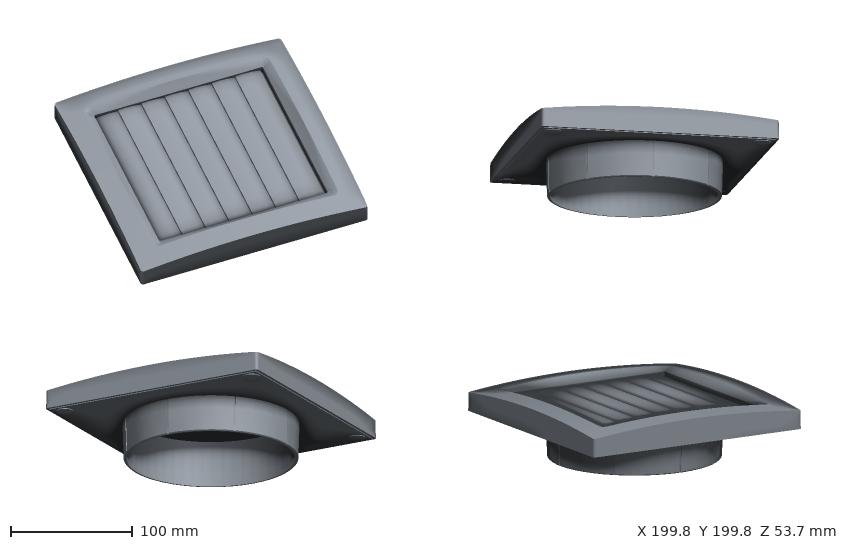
import cadquery as cq
import math

plate_side = 199.8
plate_corner_radius = 2.5
side_draft = 1.2
crown_radius = 841.2
crown_height = 27.2
crown_center_z = crown_height - crown_radius
stock_height = crown_height + 4.0

base_inset = 2.5
base_height = 0.5
foot_diameter = 14.0
foot_height = 1.2
foot_offset = 88.0

mouth_half = 81.5
mouth_radius = 6.0
well_half = 74.1
well_radius = 1.0
well_top = 16.8
rim_clearance = 0.02
straightness = 2e-06

slat_count = 7
slat_pitch = 20.5
slat_radius = 58.0
slat_top_z = 13.5
slat_rise = 1.1
step_run = 0.5
first_slat_y = 70.5
nose_length = 1.5
nose_drop = 0.2
last_slat_drop = 1.0
end_gap = 0.5
gap_floor_z = 10.0

spigot_length = 30.5
spigot_radius = 72.7
spigot_end_radius = 71.7
spigot_wall = 2.4
spigot_end_chamfer = 0.8
groove_count = 8
groove_width = 1.8
groove_depth = 0.5
duct_top = 8.0


def crown_z(x, y):
    """Height of the spherical crown above a point of the plate."""
    return crown_center_z + math.sqrt(crown_radius**2 - x**2 - y**2)


def make_plate():
    stock = (
        cq.Workplane("XY")
        .rect(plate_side, plate_side)
        .extrude(stock_height, taper=side_draft)
        .edges("not #Z")
        .fillet(plate_corner_radius)
    )
    crown = cq.Workplane("XY").sphere(crown_radius).translate((0, 0, crown_center_z))
    base_side = plate_side - 2 * base_inset
    base = cq.Workplane("XY").rect(base_side, base_side).extrude(-base_height)
    feet = (
        cq.Workplane("XY")
        .rect(2 * foot_offset, 2 * foot_offset, forConstruction=True)
        .vertices()
        .circle(foot_diameter / 2)
        .extrude(-foot_height)
    )
    return stock.intersect(crown).union(base).union(feet)


def rounded_square_edges(half, radius, height):
    """Sides and corner arcs, in order, of a rounded square lying on the surface height(x, y)."""
    straight = half - radius
    bend = straight + radius * math.sqrt(0.5)

    def point(x, y, quarter):
        for _ in range(quarter):
            x, y = -y, x
        return cq.Vector(x, y, height(x, y))

    edges = []
    for quarter in range(4):
        side = [point(half, y, quarter) for y in (-straight, 0, straight)]
        corner = [side[2], point(bend, bend, quarter), point(straight, half, quarter)]
        for start, middle, end in (side, corner):
            bulge = (start + end).multiply(0.5).sub(middle).Length
            if bulge < straightness:
                edges.append(cq.Edge.makeLine(start, end))
            else:
                edges.append(cq.Edge.makeThreePointArc(start, middle, end))
    return edges


def make_opening():
    """Solid removed from the plate: sloped mouth that follows the crown, open upwards."""
    well = rounded_square_edges(well_half, well_radius, lambda x, y: well_top)
    rim = rounded_square_edges(mouth_half, mouth_radius, lambda x, y: crown_z(x, y) + rim_clearance)
    lid = rounded_square_edges(mouth_half, mouth_radius, lambda x, y: stock_height)
    faces = [
        cq.Face.makeFromWires(cq.Wire.assembleEdges(well)),
        cq.Face.makeFromWires(cq.Wire.assembleEdges(lid)),
    ]
    for lower, upper in (well, rim), (rim, lid):
        faces += [cq.Face.makeRuledSurface(low, high) for low, high in zip(lower, upper)]
    return cq.Workplane(cq.Solid.makeSolid(cq.Shell.makeShell(faces)))


def make_louvre_space():
    """Space in the well above the stepped, convex slats and in the gaps at both ends of the row."""
    nose_y = first_slat_y + nose_length
    outline = (
        cq.Workplane("YZ", origin=(-well_half, 0, 0))
        .moveTo(well_half, well_top)
        .lineTo(well_half, gap_floor_z)
        .lineTo(nose_y, gap_floor_z)
        .lineTo(nose_y, slat_top_z - nose_drop)
        .lineTo(first_slat_y, slat_top_z)
    )
    for index in range(1, slat_count):
        y_low = first_slat_y - index * slat_pitch
        outline = outline.radiusArc((y_low, slat_top_z + slat_rise), -slat_radius)
        outline = outline.lineTo(y_low - step_run, slat_top_z)
    last_y = end_gap - well_half
    return (
        outline.radiusArc((last_y, slat_top_z - last_slat_drop), -slat_radius)
        .lineTo(last_y, gap_floor_z)
        .lineTo(-well_half, gap_floor_z)
        .lineTo(-well_half, well_top)
        .close()
        .extrude(2 * well_half)
    )


def make_spigot():
    profile = (
        cq.Workplane("XZ")
        .lineTo(spigot_radius, 0)
        .lineTo(spigot_end_radius, spigot_end_chamfer - spigot_length)
        .lineTo(spigot_end_radius - spigot_end_chamfer, -spigot_length)
        .lineTo(0, -spigot_length)
        .close()
    )
    spigot = profile.revolve(360, (0, 0, 0), (0, 1, 0))
    groove = (
        cq.Workplane("XZ")
        .moveTo(spigot_radius - groove_depth, 0)
        .lineTo(spigot_end_radius - groove_depth, -spigot_length)
        .lineTo(spigot_radius + groove_depth, -spigot_length)
        .lineTo(spigot_radius + groove_depth, 0)
        .close()
        .extrude(groove_width / 2, both=True)
    )
    for index in range(groove_count):
        spigot = spigot.cut(groove.rotate((0, 0, 0), (0, 0, 1), index * 360 / groove_count))
    return spigot


duct = (
    cq.Workplane("XY", origin=(0, 0, -spigot_length))
    .circle(spigot_end_radius - spigot_wall)
    .extrude(spigot_length + duct_top)
)

result = make_plate().cut(make_opening()).cut(make_louvre_space()).union(make_spigot()).cut(duct)